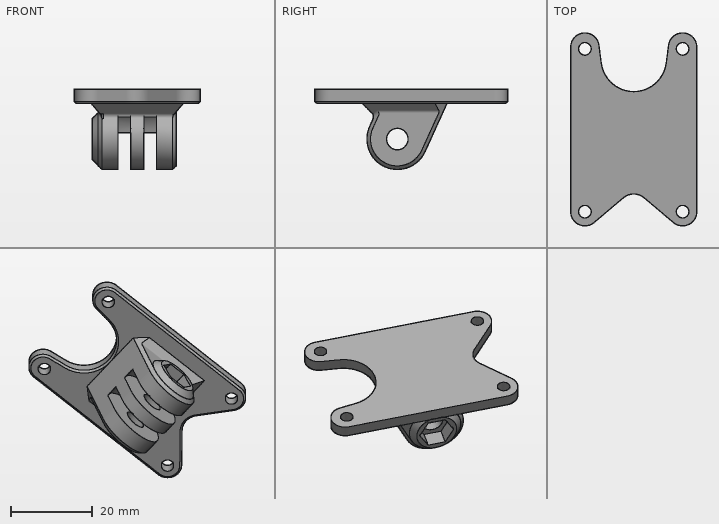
import cadquery as cq
import math

length = 47.4
total_height = 19.7
lug_radius = 3.5
lug_x = 12.0
lug_y = length / 2 - lug_radius
plate_thickness = 3.5
plate_chamfer = 0.5
hole_diameter = 3.05
rear_hole_y = 19.75
rear_notch_radius = 8.0
rear_notch_y = 17.3
front_notch_radius = 4.0
front_notch_y = -19.85

axis_y = -3.4
arm_radius = 7.5
axis_z = arm_radius - total_height
arm_half_width = 9.6
arm_chamfer = 0.9
arm_tilt = math.radians(24.5)

flare_side_reach = 1.75
flare_side_height = 2.0
flare_front_y = -12.0
flare_fillet = 1.0

fin_width = 3.25
slot_width = 3.05
slot_radius = 8.45
slot_center_offset = 0.6

boss_height = 1.45
boss_rim = 0.05
boss_base_radius = arm_radius - arm_chamfer - boss_rim
boss_end_radius = boss_base_radius - boss_height
bolt_diameter = 5.2
nut_across_flats = 7.5
nut_depth = 3.9

plate_bottom = -plate_thickness
overlap = 0.47
reach = 47.4

flare_half_width = arm_half_width + flare_side_reach
chamfered_half_width = arm_half_width - arm_chamfer
flare_knee_z = plate_bottom - flare_side_height
flare_root_z = flare_knee_z - arm_chamfer * flare_side_height / flare_side_reach


def notch_tangent(notch_y, notch_radius, lug_center_y, side):
    """Ends of the line that touches the notch arc and the lug arc from opposite sides.

    side is +1 for a notch open towards +Y and -1 towards -Y; the points are for the +X lug.
    """
    dx = lug_x
    dy = lug_center_y - notch_y
    swing = math.acos((notch_radius + lug_radius) / math.hypot(dx, dy))
    angle = math.atan2(dy, dx) - side * swing
    ux, uy = math.cos(angle), math.sin(angle)
    on_notch = (notch_radius * ux, notch_y + notch_radius * uy)
    on_lug = (lug_x - lug_radius * ux, lug_center_y - lug_radius * uy)
    return on_notch, on_lug


def mirror_x(point):
    return (-point[0], point[1])


def make_plate():
    rear_notch, rear_lug = notch_tangent(rear_notch_y, rear_notch_radius, lug_y, 1)
    front_notch, front_lug = notch_tangent(front_notch_y, front_notch_radius, -lug_y, -1)
    side_x = lug_x + lug_radius
    end_y = lug_y + lug_radius
    outline = (
        cq.Workplane("XY")
        .workplane(offset=plate_bottom)
        .moveTo(side_x, -lug_y)
        .lineTo(side_x, lug_y)
        .threePointArc((lug_x, end_y), rear_lug)
        .lineTo(*rear_notch)
        .threePointArc((0, rear_notch_y - rear_notch_radius), mirror_x(rear_notch))
        .lineTo(*mirror_x(rear_lug))
        .threePointArc((-lug_x, end_y), (-side_x, lug_y))
        .lineTo(-side_x, -lug_y)
        .threePointArc((-lug_x, -end_y), mirror_x(front_lug))
        .lineTo(*mirror_x(front_notch))
        .threePointArc((0, front_notch_y + front_notch_radius), front_notch)
        .lineTo(*front_lug)
        .threePointArc((lug_x, -end_y), (side_x, -lug_y))
        .close()
    )
    plate = outline.extrude(plate_thickness).faces("<Z").edges().chamfer(plate_chamfer)
    hole_centers = [(x, y) for x in (-lug_x, lug_x) for y in (-lug_y, rear_hole_y)]
    holes = cq.Workplane("XY").pushPoints(hole_centers).circle(hole_diameter / 2).extrude(-plate_thickness)
    return plate.cut(holes)


def arm_point(across, along):
    """(y, z) of a point measured across (towards +Y) and along (upwards) the slanted arm."""
    y = axis_y + across * math.cos(arm_tilt) + along * math.sin(arm_tilt)
    z = axis_z - across * math.sin(arm_tilt) + along * math.cos(arm_tilt)
    return (y, z)


def arm_edge(across, z):
    """(y, z) where the slanted line at the given distance across the arm reaches height z."""
    along = (z - axis_z + across * math.sin(arm_tilt)) / math.cos(arm_tilt)
    return arm_point(across, along)


def make_arm():
    top = plate_bottom + overlap
    bar = (
        cq.Workplane("YZ")
        .workplane(offset=-arm_half_width)
        .moveTo(*arm_edge(-arm_radius, top))
        .lineTo(*arm_point(-arm_radius, 0))
        .threePointArc(arm_point(0, -arm_radius), arm_point(arm_radius, 0))
        .lineTo(*arm_edge(arm_radius, top))
        .close()
        .extrude(2 * arm_half_width)
    )
    return bar.faces("<X or >X").edges("not >Z").chamfer(arm_chamfer)


def make_rear_chamfer_envelope():
    """Slanted prism whose 45 degree sides carry the arm's rear chamfers on through the flare."""
    section_plane = cq.Plane(
        origin=(0, axis_y, axis_z),
        xDir=(1, 0, 0),
        normal=(0, math.sin(arm_tilt), math.cos(arm_tilt)),
    )
    return (
        cq.Workplane(section_plane)
        .polyline([
            (-chamfered_half_width, arm_radius),
            (-chamfered_half_width - reach, arm_radius - reach),
            (chamfered_half_width + reach, arm_radius - reach),
            (chamfered_half_width, arm_radius),
        ])
        .close()
        .extrude(reach)
    )


def make_flare():
    side_profile = (
        cq.Workplane("YZ")
        .workplane(offset=-reach / 2)
        .polyline([
            (flare_front_y, plate_bottom),
            arm_edge(-arm_radius, flare_root_z),
            arm_edge(arm_radius, flare_root_z),
            arm_edge(arm_radius, plate_bottom),
        ])
        .close()
        .extrude(reach)
    )
    front_profile = (
        cq.Workplane("XZ")
        .workplane(offset=-reach / 2)
        .polyline([
            (-flare_half_width, plate_bottom),
            (-chamfered_half_width, flare_root_z),
            (chamfered_half_width, flare_root_z),
            (flare_half_width, plate_bottom),
        ])
        .close()
        .extrude(reach)
    )
    return side_profile.intersect(front_profile).intersect(make_rear_chamfer_envelope())


def make_flared_arm():
    tolerance = 0.005
    root_band = cq.selectors.BoxSelector(
        (-reach, -reach, flare_root_z - tolerance),
        (reach, reach, flare_knee_z + tolerance),
        boundingbox=True,
    )
    return make_arm().union(make_flare()).edges(root_band).fillet(flare_fillet)


def make_boss():
    """Cone on the -X side of the arm."""
    return (
        cq.Workplane("XY")
        .polyline([
            (-arm_half_width - boss_height, 0),
            (-arm_half_width - boss_height, boss_end_radius),
            (-arm_half_width, boss_base_radius),
            (-arm_half_width, 0),
        ])
        .close()
        .revolve(360, (0, 0), (1, 0))
        .translate((0, axis_y, axis_z))
    )


def make_slots():
    slot_x = (fin_width + slot_width) / 2
    slot = (
        cq.Workplane("YZ")
        .center(axis_y + slot_center_offset, axis_z)
        .circle(slot_radius)
        .extrude(slot_width / 2, both=True)
    )
    return slot.translate((-slot_x, 0, 0)).union(slot.translate((slot_x, 0, 0)))


def make_bolt_cut():
    nut_across_corners = nut_across_flats / math.cos(math.pi / 6)
    bolt_hole = (
        cq.Workplane("YZ")
        .center(axis_y, axis_z)
        .circle(bolt_diameter / 2)
        .extrude(reach / 2, both=True)
    )
    nut_pocket = (
        cq.Workplane("YZ")
        .workplane(offset=-arm_half_width - boss_height)
        .center(axis_y, axis_z)
        .polygon(6, nut_across_corners)
        .extrude(nut_depth)
    )
    return bolt_hole.union(nut_pocket)


hinge = make_flared_arm().union(make_boss()).cut(make_slots()).cut(make_bolt_cut())
result = make_plate().union(hinge)